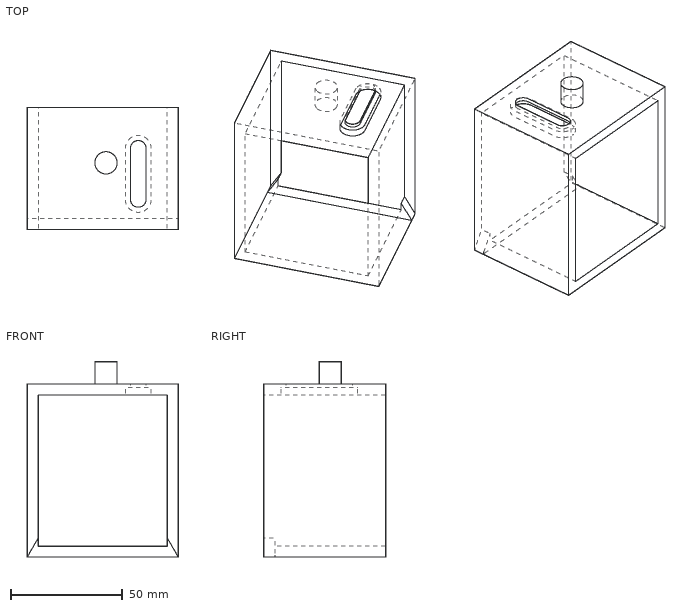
import cadquery as cq
import math

width = 68.0
depth = 55.0
total_height = 88.0

wall = 5.0

pin_diameter = 10.0
pin_height = 10.0
pin_from_left = 35.5
pin_from_back = 25.0

slot_width = 7.0
slot_length = 30.0
slot_from_right = 18.0
slot_from_back = 15.0
slot_lip_thickness = 1.7
slot_undercut = 2.3

recess_depth = 5.0
recess_end_angle = 60.0

body_height = total_height - pin_height


def make_frame():
    """Rectangular tube, open front and back, with its front left bottom corner at the origin."""
    outer = cq.Workplane("XY").box(width, depth, body_height, centered=False)
    opening = (
        cq.Workplane("XY")
        .box(width - 2 * wall, depth, body_height - 2 * wall, centered=False)
        .translate((wall, 0, wall))
    )
    return outer.cut(opening)


def make_pin():
    return (
        cq.Workplane("XY", origin=(pin_from_left, depth - pin_from_back, body_height - wall))
        .circle(pin_diameter / 2)
        .extrude(wall + pin_height)
    )


def make_slot():
    """Stepped cutter: a narrow slot through the roof and a wider pocket open to the inside."""
    slot_center_y = depth - slot_from_back - slot_length / 2
    base = cq.Workplane("XY", origin=(width - slot_from_right, slot_center_y, body_height - wall))
    narrow = base.slot2D(slot_length, slot_width, 90).extrude(wall)
    pocket = base.slot2D(
        slot_length + 2 * slot_undercut, slot_width + 2 * slot_undercut, 90
    ).extrude(wall - slot_lip_thickness)
    return narrow.union(pocket)


def make_floor_recess():
    """Trapezoidal cutter: its ends rise from the outer bottom corners to the inner wall faces."""
    rise = wall * math.tan(math.radians(recess_end_angle))
    return (
        cq.Workplane("XZ")
        .polyline([(0, 0), (width, 0), (width - wall, rise), (wall, rise)])
        .close()
        .extrude(-recess_depth)
    )


result = make_frame().union(make_pin()).cut(make_slot()).cut(make_floor_recess())